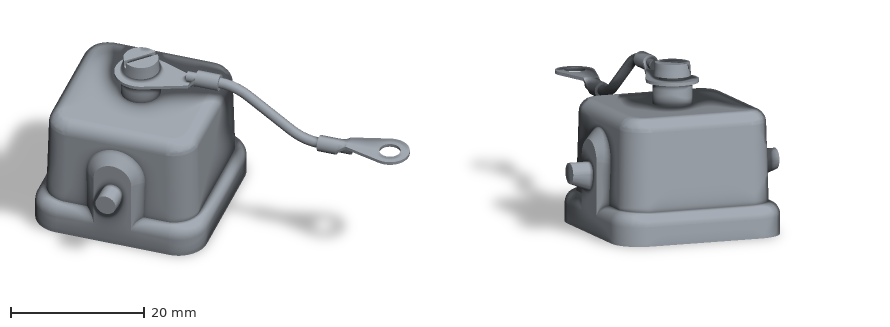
import cadquery as cq
import math


base_width = 27.0
base_height = 5.0
base_corner_radius = 4.5
base_edge_radius = 2.0

hood_height = 19.0
hood_foot_width = 24.3
hood_draft_angle = 1.4
hood_corner_radius = 3.9
hood_edge_radius = 2.0

pad_radius = 3.0
pad_axis_height = 11.4
pad_foot_height = 2.6
pad_depth = 2.5
pad_flank_angle = 45.0

pin_diameter = 3.2
pin_axis_height = 9.4
pin_tip_span = 33.4
web_root_drop = 2.8

post_diameter = 6.0
post_top = 22.3
neck_diameter = 4.1
head_bottom = 23.3
head_top = 25.3
head_bottom_diameter = 5.6
head_top_diameter = 5.3
slot_width = 0.7
slot_depth = 0.9
slot_angle = 45.0

tab_thickness = 0.5
sleeve_diameter = 2.5
post_tab_radius = 4.0
post_tab_bend_x = 7.9
post_sleeve_start = 8.95
post_sleeve_end = 12.55
free_sleeve_start = 28.3
free_sleeve_end = 31.2
free_tab_bend_x = 32.9
free_tab_eye_x = 39.5
free_tab_radius = 3.0
free_tab_hole_diameter = 3.2
free_tab_top = 17.25

cable_diameter = 1.6
cable_start_x = 7.4
cable_end_x = 33.5
cable_bend_radius = 7.8

wall_y = base_width / 2
pin_radius = pin_diameter / 2
pin_length = pin_tip_span / 2 - wall_y
sleeve_radius = sleeve_diameter / 2
post_sleeve_height = post_top + sleeve_radius
free_sleeve_height = free_tab_top - sleeve_radius


def make_base():
    base = cq.Workplane("XY").rect(base_width, base_width).extrude(base_height)
    base = base.edges("|Z").fillet(base_corner_radius)
    return base.faces(">Z").edges().fillet(base_edge_radius)


def make_hood():
    hood = cq.Workplane("XY").rect(hood_foot_width, hood_foot_width)
    hood = hood.extrude(hood_height, taper=hood_draft_angle)
    hood = hood.edges("not(#Z)").fillet(hood_corner_radius)
    return hood.faces(">Z").edges().fillet(hood_edge_radius)


def make_pad():
    """Arched pad on the -Y wall, widening into the hood."""
    outer_face = cq.Plane(origin=(0, -wall_y, 0), xDir=(-1, 0, 0), normal=(0, 1, 0))
    return (
        cq.Workplane(outer_face)
        .moveTo(-pad_radius, pad_foot_height)
        .lineTo(pad_radius, pad_foot_height)
        .lineTo(pad_radius, pad_axis_height)
        .threePointArc((0, pad_axis_height + pad_radius), (-pad_radius, pad_axis_height))
        .close()
        .extrude(pad_depth, taper=-pad_flank_angle)
    )


def make_pin():
    """Round pin on the -Y pad, with a half-elliptic web that fades out at the pin tip."""
    root = cq.Workplane("XZ", origin=(0, -wall_y, pin_axis_height))
    pin = root.circle(pin_radius).extrude(pin_length)
    web = (
        root.moveTo(-pin_radius, 0)
        .ellipseArc(pin_radius, web_root_drop, 180, 360)
        .close()
        .workplane(offset=pin_length)
        .moveTo(-pin_radius, 0)
        .ellipseArc(pin_radius, pin_radius, 180, 360)
        .close()
        .loft(ruled=True)
    )
    return pin.union(web)


def make_screw_post():
    post = cq.Workplane("XY", origin=(0, 0, hood_height - hood_edge_radius))
    post = post.circle(post_diameter / 2).extrude(post_top - hood_height + hood_edge_radius)
    neck = cq.Workplane("XY", origin=(0, 0, post_top))
    neck = neck.circle(neck_diameter / 2).extrude(head_bottom - post_top)
    head = (
        cq.Workplane("XY", origin=(0, 0, head_bottom))
        .circle(head_bottom_diameter / 2)
        .workplane(offset=head_top - head_bottom)
        .circle(head_top_diameter / 2)
        .loft(ruled=True)
    )
    slot = (
        cq.Workplane("XY", origin=(0, 0, head_top - slot_depth))
        .transformed(rotate=(0, 0, slot_angle))
        .rect(2 * head_bottom_diameter, slot_width)
        .extrude(2 * slot_depth)
    )
    return post.union(neck).union(head.cut(slot))


def make_tab(eye_x, eye_radius, bend_x, bottom):
    """Flat tab: a round eye with tangent edges narrowing to sleeve width at the bend."""
    reach = bend_x - eye_x
    side = math.copysign(1, reach)
    distance = math.hypot(reach, sleeve_radius)
    tangent_angle = math.atan2(sleeve_radius, abs(reach)) + math.acos(eye_radius / distance)
    tangent_x = eye_x + side * eye_radius * math.cos(tangent_angle)
    tangent_y = eye_radius * math.sin(tangent_angle)
    return (
        cq.Workplane("XY", origin=(0, 0, bottom))
        .moveTo(bend_x, -sleeve_radius)
        .lineTo(tangent_x, -tangent_y)
        .threePointArc((eye_x - side * eye_radius, 0), (tangent_x, tangent_y))
        .lineTo(bend_x, sleeve_radius)
        .close()
        .extrude(tab_thickness)
    )


def make_transition(bend_x, sleeve_x, sleeve_height, side):
    """Blend from the flat tab to a sleeve segment; side is +1 with the tab at the top."""
    chord_offset = -side * tab_thickness
    half_chord = math.sqrt(sleeve_radius**2 - chord_offset**2)
    mid_offset = chord_offset / 2
    mid_half_chord = math.sqrt(sleeve_radius**2 - mid_offset**2)
    tab_outer = side * sleeve_radius
    tab_inner = side * (sleeve_radius - tab_thickness)
    return (
        cq.Workplane("YZ", origin=(sleeve_x, 0, sleeve_height))
        .moveTo(-half_chord, chord_offset)
        .lineTo(half_chord, chord_offset)
        .threePointArc((mid_half_chord, mid_offset), (sleeve_radius, 0))
        .threePointArc((0, tab_outer), (-sleeve_radius, 0))
        .threePointArc((-mid_half_chord, mid_offset), (-half_chord, chord_offset))
        .close()
        .workplane(offset=bend_x - sleeve_x)
        .moveTo(-sleeve_radius, tab_inner)
        .lineTo(sleeve_radius, tab_inner)
        .lineTo(sleeve_radius, tab_outer)
        .lineTo(-sleeve_radius, tab_outer)
        .close()
        .loft(ruled=True)
    )


def make_sleeve(start_x, end_x, height):
    sleeve = cq.Workplane("YZ", origin=(start_x, 0, height))
    return sleeve.circle(sleeve_radius).extrude(end_x - start_x)


def make_cable():
    """S-shaped cable: two equal bends joined by a straight tangent run."""
    run = free_sleeve_start - post_sleeve_end
    centre_rise = 2 * cable_bend_radius - (post_sleeve_height - free_sleeve_height)
    straight = math.sqrt(run**2 + centre_rise**2 - (2 * cable_bend_radius) ** 2)
    bend_angle = math.atan2(2 * cable_bend_radius, straight) - math.atan2(centre_rise, run)

    def bend_offset(angle):
        return cable_bend_radius * math.sin(angle), cable_bend_radius * (1 - math.cos(angle))

    half_x, half_z = bend_offset(bend_angle / 2)
    full_x, full_z = bend_offset(bend_angle)
    path = (
        cq.Workplane("XZ")
        .moveTo(cable_start_x, post_sleeve_height)
        .lineTo(post_sleeve_end, post_sleeve_height)
        .threePointArc(
            (post_sleeve_end + half_x, post_sleeve_height - half_z),
            (post_sleeve_end + full_x, post_sleeve_height - full_z),
        )
        .lineTo(free_sleeve_start - full_x, free_sleeve_height + full_z)
        .threePointArc(
            (free_sleeve_start - half_x, free_sleeve_height + half_z),
            (free_sleeve_start, free_sleeve_height),
        )
        .lineTo(cable_end_x, free_sleeve_height)
    )
    section = cq.Workplane("YZ", origin=(cable_start_x, 0, post_sleeve_height))
    return section.circle(cable_diameter / 2).sweep(path)


def make_lanyard():
    post_tab = make_tab(0, post_tab_radius, post_tab_bend_x, post_top)
    free_tab = make_tab(free_tab_eye_x, free_tab_radius, free_tab_bend_x, free_tab_top - tab_thickness)
    eye_hole = cq.Workplane("XY", origin=(free_tab_eye_x, 0, 0))
    eye_hole = eye_hole.circle(free_tab_hole_diameter / 2).extrude(head_top)
    free_tab = free_tab.cut(eye_hole)

    lanyard = make_cable()
    lanyard = lanyard.union(make_sleeve(post_sleeve_start, post_sleeve_end, post_sleeve_height))
    lanyard = lanyard.union(make_sleeve(free_sleeve_start, free_sleeve_end, free_sleeve_height))
    lanyard = lanyard.union(make_transition(post_tab_bend_x, post_sleeve_start, post_sleeve_height, -1))
    lanyard = lanyard.union(make_transition(free_tab_bend_x, free_sleeve_end, free_sleeve_height, 1))
    return lanyard.union(post_tab).union(free_tab)


housing = make_base().union(make_hood())
for wall_feature in (make_pad(), make_pin()):
    housing = housing.union(wall_feature)
    housing = housing.union(wall_feature.mirror("XZ"))

result = housing.union(make_screw_post()).union(make_lanyard())